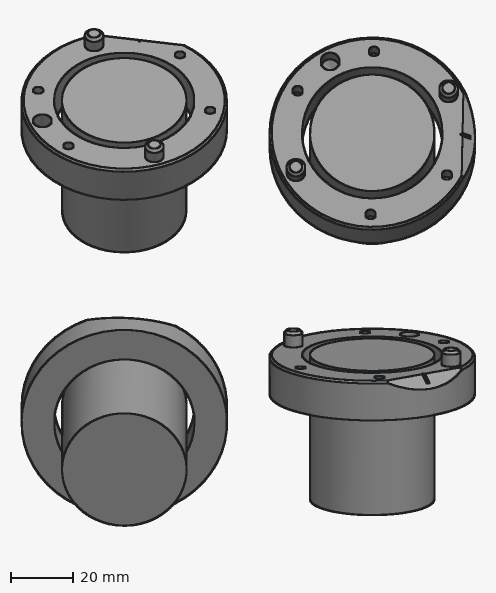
import cadquery as cq
import math

ring_diameter = 66.0
ring_bore_diameter = 45.0
ring_bottom = 35.0
ring_top = 48.0
rim_chamfer = 0.7

plug_diameter = 40.0

pitch_radius = 28.0
pin_diameter = 6.0
pin_angles = (0, 180)
pin_top = 53.0
pin_chamfer = 1.0
small_hole_diameter = 3.25
small_hole_depth = 5.95
small_hole_angles = (60, 120, 240, 300)
large_hole_diameter = 6.0
large_hole_depth = 5.95
large_hole_angle = 270
drill_tip_angle = 118.0

flat_direction = 150.0
flat_distance = 29.0
flat_slope = 45.0
groove_width = 1.0
groove_drop = 2.5

ring_radius = ring_diameter / 2
ring_height = ring_top - ring_bottom
slope = math.radians(flat_slope)


def pitch_point(angle):
    """Point of the pitch circle at the given angle, in the XY plane."""
    return (
        pitch_radius * math.cos(math.radians(angle)),
        pitch_radius * math.sin(math.radians(angle)),
    )


def make_ring_blank():
    """Flat ring with a chamfered outer top edge."""
    disc = cq.Workplane("XY").workplane(offset=ring_bottom).circle(ring_radius).extrude(ring_height)
    disc = disc.faces(">Z").edges().chamfer(rim_chamfer)
    return disc.faces(">Z").workplane().hole(ring_bore_diameter)


def make_drilled_hole(angle, diameter, depth):
    """Cutter for a blind hole in the top face, with a conical drill tip."""
    radius = diameter / 2
    tip_length = radius / math.tan(math.radians(drill_tip_angle / 2))
    half_profile = [(0, 0), (radius, 0), (radius, -depth), (0, -depth - tip_length)]
    cutter = cq.Workplane("XZ").polyline(half_profile).close().revolve(360, (0, 0, 0), (0, 1, 0))
    x, y = pitch_point(angle)
    return cutter.translate((x, y, ring_top))


def make_pin(angle):
    """Chamfered pin that stands on the top face of the ring."""
    x, y = pitch_point(angle)
    pin = cq.Workplane("XY").circle(pin_diameter / 2).extrude(pin_top - ring_top)
    pin = pin.faces(">Z").chamfer(pin_chamfer)
    return pin.translate((x, y, ring_top))


def make_index_flat():
    """Wedge that cuts the sloped flat, built toward +X and turned into place."""
    reach = ring_radius - flat_distance
    drop = reach * math.tan(slope)
    wedge = (
        cq.Workplane("XZ")
        .polyline([(flat_distance, ring_top), (ring_radius, ring_top), (ring_radius, ring_top - drop)])
        .close()
        .extrude(ring_radius, both=True)
    )
    return wedge.rotate((0, 0, 0), (0, 0, 1), flat_direction)


def make_index_groove():
    """Square bar lying corner-down in the sloped flat, which leaves a 90 degree V groove."""
    half_width = groove_width / 2
    downhill = cq.Vector(math.cos(slope), 0, -math.sin(slope))
    lower_end = cq.Vector(flat_distance + groove_drop / math.tan(slope), 0, ring_top - groove_drop)
    bar_length = groove_drop / math.sin(slope) + groove_width
    end_plane = cq.Plane(origin=lower_end, xDir=(0, 1, 0), normal=-downhill)
    corners = [(half_width, 0), (0, half_width), (-half_width, 0), (0, -half_width)]
    bar = cq.Workplane(end_plane).polyline(corners).close().extrude(bar_length)
    return bar.rotate((0, 0, 0), (0, 0, 1), flat_direction)


def make_ring():
    """Ring with its index flat, blind holes and the two pins on the X axis."""
    ring = make_ring_blank().cut(make_index_flat()).cut(make_index_groove())
    for angle in small_hole_angles:
        ring = ring.cut(make_drilled_hole(angle, small_hole_diameter, small_hole_depth))
    ring = ring.cut(make_drilled_hole(large_hole_angle, large_hole_diameter, large_hole_depth))
    for angle in pin_angles:
        ring = ring.union(make_pin(angle))
    return ring.solids()


def make_plug():
    """Plain round plug that passes through the ring bore with clearance."""
    return cq.Workplane("XY").circle(plug_diameter / 2).extrude(ring_top)


ring = make_ring()
plug = make_plug()

result = cq.Compound.makeCompound([ring.val(), plug.val()])